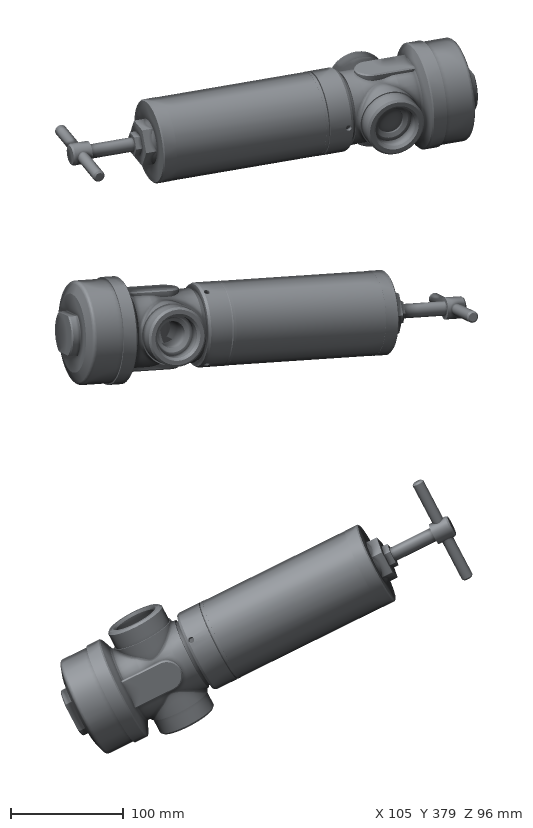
import cadquery as cq
import math


TOTAL_LENGTH = 379

WRENCH_BOSS_BACK_Y = 89.0
COVER_BACK_Y = 80.7
COVER_DOME_Y = 77.0
FLANGE_BACK_Y = 49.5
FLANGE_FRONT_Y = 36.5
FLANGE_CONE_END_Y = 32.0
SHOULDER_Y = 13.3
WAIST_BACK_Y = -1.5
WAIST_FRONT_Y = -19.7
NECK_BACK_Y = -31.0
COLLAR_BACK_Y = -35.0
HOUSING_BACK_Y = -57.2
HOUSING_FRONT_Y = -215.3
ADAPTER_FRONT_Y = -225.5
LOCKNUT_FRONT_Y = -231.2
HEAD_BACK_Y = -272.0
HEAD_FRONT_Y = WRENCH_BOSS_BACK_Y - TOTAL_LENGTH

COVER_RADIUS = 46.5
COVER_FACE_RADIUS = 35.2
COVER_EDGE_FILLET = 3.5
WRENCH_BOSS_RADIUS = 22.5
WRENCH_BOSS_FLATS = 35.5
WRENCH_BOSS_CHAMFER = 1.0
WRENCH_BOSS_FILLET = 0.8

FLANGE_RADIUS = 48.0
FLANGE_CHAMFER = 1.0
BODY_RADIUS = 35.2
WAIST_RADIUS = 33.0
FRONT_RIM_RADIUS = 33.5
NECK_RADIUS = 31.5
BODY_BLEND = 2.5
FLANGE_NECK_BLEND = 1.5

PORT_SPAN = 105.0
PORT_FACE_X = PORT_SPAN / 2
PORT_RADIUS = 27.0
PORT_CHAMFER = 2.0
PORT_ROOT_RADIUS = 28.0
PORT_ROOT_X = 36.5
PORT_BORE_RADIUS = 19.0
PORT_BORE_CHAMFER = 2.3
PORT_BORE_DEPTH = 13.3
SEAT_RADIUS = 16.0
SEAT_CONE_LENGTH = 2.0
PASSAGE_RADIUS = 12.0
PASSAGE_DEPTH = 17.5
CAVITY_RADIUS = 17.0
CAVITY_FRONT_Y = -8.7

PAD_WIDTH = 28.0
PAD_HEIGHT = 36.0
PAD_END_Y = WAIST_FRONT_Y
PAD_CHAMFER = 1.0

BARREL_RADIUS = 38.0
COLLAR_CHAMFER_LENGTH = 2.3
COLLAR_CHAMFER_DEPTH = 1.0
SCREW_HOLE_RADIUS = 2.5
SCREW_HOLE_DEPTH = 3.8
SCREW_HOLE_Y = -39.8
SCREW_HOLE_COUNT = 3
HOUSING_CHAMFER = 1.0
HOUSING_LAND_BACK = 3.8
HOUSING_LAND_FRONT = 12.5
HOUSING_RELIEF = 0.2

ADAPTER_FLATS = 35.5
ADAPTER_CONE_LENGTH = 3.0
LOCKNUT_FLATS = 19.0
SPINDLE_RADIUS = 6.5
HEAD_RADIUS = 10.0
HEAD_CHAMFER_LENGTH = 1.5
HEAD_CHAMFER_DEPTH = 1.0
TEE_BAR_RADIUS = 5.3
TEE_BAR_LENGTH = 99.3
TEE_BAR_CHAMFER = 1.5
TEE_BAR_Y = -281.0

SEAM_ANGLE = 90

PICK_MARGIN = 0.5


def spin(half_section):
    """Revolve a half section about the main axis."""
    return half_section.revolve(360, (0, 0), (0, 1)).rotate((0, 0, 0), (0, 1, 0), SEAM_ANGLE)


def turned(points):
    """Solid of revolution from (radius, y) points, given from back to front."""
    outline = [(0, points[0][1])] + points + [(0, points[-1][1])]
    return spin(cq.Workplane("XY").polyline(outline).close())


def cylinder_y(radius, back, front):
    return turned([(radius, back), (radius, front)])


def hexagon(flats, back, front):
    """Hexagonal bar along Y with corners on +X and -X."""
    corner_circle = flats / math.cos(math.pi / 6)
    bar = cq.Workplane("XZ").polygon(6, corner_circle).extrude(back - front)
    return bar.translate((0, back, 0))


def cylinder_x(radius, start, end):
    return cq.Workplane("YZ").workplane(offset=start).circle(radius).extrude(end - start)


def edges_within(radius, back, front):
    """Selector for the edges that lie wholly between two stations, up to a radius from the axis."""
    reach = radius + PICK_MARGIN
    return cq.selectors.BoxSelector(
        (-reach, front - PICK_MARGIN, -reach),
        (reach, back + PICK_MARGIN, reach),
        boundingbox=True,
    )


def make_cover():
    cover = turned([
        (COVER_FACE_RADIUS, COVER_BACK_Y),
        (COVER_RADIUS, COVER_DOME_Y),
        (COVER_RADIUS, FLANGE_BACK_Y),
    ])
    dome_edge = edges_within(COVER_RADIUS, COVER_DOME_Y, COVER_DOME_Y)
    cover = cover.edges(dome_edge).fillet(COVER_EDGE_FILLET)
    boss = cylinder_y(WRENCH_BOSS_RADIUS, WRENCH_BOSS_BACK_Y, COVER_BACK_Y)
    boss = boss.faces(">Y").chamfer(WRENCH_BOSS_CHAMFER)
    boss_length = WRENCH_BOSS_BACK_Y - COVER_BACK_Y
    flats = cq.Workplane("XY").box(
        2 * WRENCH_BOSS_RADIUS, boss_length, WRENCH_BOSS_FLATS
    ).translate((0, COVER_BACK_Y + boss_length / 2, 0))
    cover = cover.union(boss.intersect(flats))
    foot = edges_within(WRENCH_BOSS_RADIUS, COVER_BACK_Y, COVER_BACK_Y)
    return cover.edges(foot).fillet(WRENCH_BOSS_FILLET)


def make_pad():
    half_width = PAD_WIDTH / 2
    arc_centre_y = PAD_END_Y + half_width
    pad = (
        cq.Workplane("XY")
        .moveTo(-half_width, FLANGE_BACK_Y)
        .lineTo(-half_width, arc_centre_y)
        .threePointArc((0, PAD_END_Y), (half_width, arc_centre_y))
        .lineTo(half_width, FLANGE_BACK_Y)
        .close()
        .extrude(PAD_HEIGHT)
    )
    return pad.faces(">Z").chamfer(PAD_CHAMFER)


def make_port_cutter(passage_end):
    """Stepped bore along +X, from the port face inwards to the end of the passage."""
    shelf_x = PORT_FACE_X - PORT_BORE_DEPTH
    cone_end_x = shelf_x - SEAT_CONE_LENGTH
    outline = [
        (PORT_FACE_X, 0),
        (PORT_FACE_X, PORT_BORE_RADIUS + PORT_BORE_CHAMFER),
        (PORT_FACE_X - PORT_BORE_CHAMFER, PORT_BORE_RADIUS),
        (shelf_x, PORT_BORE_RADIUS),
        (shelf_x, SEAT_RADIUS),
        (cone_end_x, PASSAGE_RADIUS),
        (passage_end, PASSAGE_RADIUS),
        (passage_end, 0),
    ]
    return cq.Workplane("XY").polyline(outline).close().revolve(360, (0, 0), (1, 0))


def make_barrel():
    """Round body that runs down smoothly from the shoulder to the waist, then flares to the front rim."""
    along_axis = (0, -1)
    half_section = (
        cq.Workplane("XY")
        .moveTo(0, FLANGE_BACK_Y)
        .lineTo(BODY_RADIUS, FLANGE_BACK_Y)
        .lineTo(BODY_RADIUS, SHOULDER_Y)
        .spline([(WAIST_RADIUS, WAIST_BACK_Y)], tangents=[along_axis, along_axis], includeCurrent=True)
        .lineTo(WAIST_RADIUS, WAIST_FRONT_Y)
        .lineTo(FRONT_RIM_RADIUS, NECK_BACK_Y)
        .lineTo(0, NECK_BACK_Y)
        .close()
    )
    return spin(half_section)


def make_body():
    port_roots = cylinder_x(PORT_ROOT_RADIUS, -PORT_ROOT_X, PORT_ROOT_X)
    body = make_barrel().union(port_roots)
    crossing = edges_within(BODY_RADIUS, PORT_ROOT_RADIUS, -PORT_ROOT_RADIUS)
    body = body.edges(crossing).edges("not %CIRCLE").edges("not %LINE").fillet(BODY_BLEND)
    flange = turned([
        (FLANGE_RADIUS, FLANGE_BACK_Y),
        (FLANGE_RADIUS, FLANGE_FRONT_Y + FLANGE_CHAMFER),
        (FLANGE_RADIUS - FLANGE_CHAMFER, FLANGE_FRONT_Y),
        (BODY_RADIUS + FLANGE_NECK_BLEND, FLANGE_CONE_END_Y),
        (BODY_RADIUS, FLANGE_CONE_END_Y - FLANGE_NECK_BLEND),
    ])
    body = body.union(flange).union(cylinder_y(NECK_RADIUS, NECK_BACK_Y, COLLAR_BACK_Y))
    ports = cylinder_x(PORT_RADIUS, -PORT_FACE_X, PORT_FACE_X).faces("<X or >X").chamfer(PORT_CHAMFER)
    body = body.union(ports)
    pad = make_pad()
    body = body.union(pad).union(pad.mirror("XY"))
    body = body.cut(cylinder_y(CAVITY_RADIUS, FLANGE_BACK_Y, CAVITY_FRONT_Y))
    inlet = make_port_cutter(0).mirror("YZ")
    outlet = make_port_cutter(PORT_FACE_X - PASSAGE_DEPTH)
    return body.cut(inlet).cut(outlet)


def make_collar():
    collar = turned([
        (BARREL_RADIUS - COLLAR_CHAMFER_DEPTH, COLLAR_BACK_Y),
        (BARREL_RADIUS, COLLAR_BACK_Y - COLLAR_CHAMFER_LENGTH),
        (BARREL_RADIUS, HOUSING_BACK_Y),
    ])
    hole = cylinder_x(SCREW_HOLE_RADIUS, BARREL_RADIUS - SCREW_HOLE_DEPTH, BARREL_RADIUS + SCREW_HOLE_DEPTH)
    hole = hole.translate((0, SCREW_HOLE_Y, 0))
    for index in range(SCREW_HOLE_COUNT):
        angle = index * 360 / SCREW_HOLE_COUNT
        collar = collar.cut(hole.rotate((0, 0, 0), (0, 1, 0), angle))
    return collar


def make_housing():
    relief_radius = BARREL_RADIUS - HOUSING_RELIEF
    relief_back_y = HOUSING_BACK_Y - HOUSING_LAND_BACK
    relief_front_y = HOUSING_FRONT_Y + HOUSING_LAND_FRONT
    return turned([
        (BARREL_RADIUS - HOUSING_CHAMFER, HOUSING_BACK_Y),
        (BARREL_RADIUS, HOUSING_BACK_Y - HOUSING_CHAMFER),
        (BARREL_RADIUS, relief_back_y),
        (relief_radius, relief_back_y),
        (relief_radius, relief_front_y),
        (BARREL_RADIUS, relief_front_y),
        (BARREL_RADIUS, HOUSING_FRONT_Y + HOUSING_CHAMFER),
        (BARREL_RADIUS - HOUSING_CHAMFER, HOUSING_FRONT_Y),
    ])


def make_adapter():
    foot_radius = ADAPTER_FLATS / 2 / math.cos(math.pi / 6)
    foot = turned([
        (foot_radius, HOUSING_FRONT_Y),
        (ADAPTER_FLATS / 2, HOUSING_FRONT_Y - ADAPTER_CONE_LENGTH),
    ])
    adapter = hexagon(ADAPTER_FLATS, HOUSING_FRONT_Y, ADAPTER_FRONT_Y).union(foot)
    return adapter.cut(cylinder_y(SPINDLE_RADIUS, HOUSING_FRONT_Y, ADAPTER_FRONT_Y))


def make_locknut():
    locknut = hexagon(LOCKNUT_FLATS, ADAPTER_FRONT_Y, LOCKNUT_FRONT_Y)
    return locknut.cut(cylinder_y(SPINDLE_RADIUS, ADAPTER_FRONT_Y, LOCKNUT_FRONT_Y))


def make_tee_bar():
    bar = cylinder_x(TEE_BAR_RADIUS, -TEE_BAR_LENGTH / 2, TEE_BAR_LENGTH / 2)
    bar = bar.faces("<X or >X").chamfer(TEE_BAR_CHAMFER)
    return bar.translate((0, TEE_BAR_Y, 0))


def make_spindle(tee_bar):
    spindle = turned([
        (SPINDLE_RADIUS, HOUSING_FRONT_Y),
        (SPINDLE_RADIUS, HEAD_BACK_Y),
        (HEAD_RADIUS, HEAD_BACK_Y),
        (HEAD_RADIUS, HEAD_FRONT_Y + HEAD_CHAMFER_LENGTH),
        (HEAD_RADIUS - HEAD_CHAMFER_DEPTH, HEAD_FRONT_Y),
    ])
    return spindle.cut(tee_bar)


cover = make_cover()
body = make_body()
collar = make_collar()
housing = make_housing()
adapter = make_adapter()
locknut = make_locknut()
tee_bar = make_tee_bar()
spindle = make_spindle(tee_bar)

bodies = [cover, body, collar, housing, adapter, locknut, tee_bar, spindle]
result = cq.Compound.makeCompound([part.solids().val() for part in bodies])